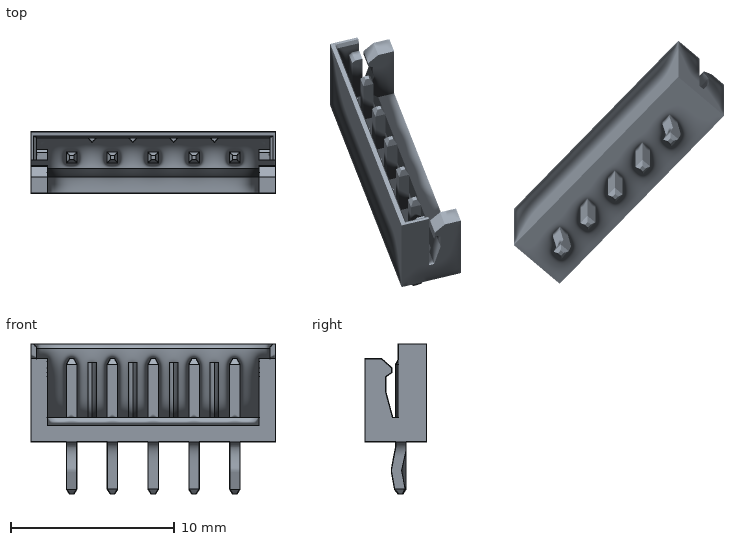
import cadquery as cq

width = 15.0
depth = 3.8
height = 6.0
floor_z = 1.5
back_wall = 0.39
side_wall = 0.33
side_wall_front_y = 2.04
cavity_back_y = depth - back_wall
cavity_half_x = width / 2 - side_wall

back_bevel_run = 0.12
back_bevel_drop = 0.27
side_bevel = 0.18

arm_width = 1.0
arm_top_z = 5.1
arm_top_y = 1.02
hook_y = 1.66
hook_upper_z = 4.53
hook_lower_z = 4.25
neck_y = 1.29
neck_upper_z = 3.99
neck_lower_z = 3.06
slot_front_y = 1.71
window_half_x = width / 2 - arm_width
sill_z = 1.0
sill_back_y = 1.02
ramp_back_y = 1.53

post_depth = 0.65
post_top_z = 5.1
post_bevel = 0.18

rib_width = 0.51
rib_depth = 0.27
rib_top_z = 4.88

pin_count = 5
pin_pitch = width / 6
pin_size = 0.65
pin_y = 2.2
pin_top_z = arm_top_z
pin_bottom_z = -3.21
tip_flat = 0.25
top_taper = 0.36
bottom_taper = 0.32
pin_front_y = pin_y - pin_size / 2
pin_back_y = pin_y + pin_size / 2

bend_shift = 0.27
bend_front_start_z = -0.33
bend_back_start_z = -0.54
bend_crest_z = -1.75
bend_radius = 0.6
bent_end_shift = 0.06
bent_tip_tilt = 0.03


def extrude_along_x(points, x_length):
    """Solid from a (Y, Z) outline, centred on X = 0."""
    return cq.Workplane("YZ").polyline(points).close().extrude(x_length / 2, both=True)


def extrude_along_y(points, y_length):
    """Solid from an (X, Z) outline, running back from Y = 0."""
    return cq.Workplane("XZ").polyline(points).close().extrude(-y_length)


def box_between(low, high):
    """Axis-aligned box from its two extreme corners."""
    size = [b - a for a, b in zip(low, high)]
    return cq.Workplane("XY").box(*size, centered=False).translate(low)


def make_housing():
    housing = extrude_along_x(
        [
            (0, 0),
            (depth, 0),
            (depth, height),
            (side_wall_front_y, height),
            (side_wall_front_y, floor_z),
            (slot_front_y, floor_z),
            (neck_y, neck_lower_z),
            (neck_y, neck_upper_z),
            (hook_y, hook_lower_z),
            (hook_y, hook_upper_z),
            (arm_top_y, arm_top_z),
            (0, arm_top_z),
        ],
        width,
    )
    window = extrude_along_x(
        [
            (0, sill_z),
            (sill_back_y, sill_z),
            (ramp_back_y, floor_z),
            (side_wall_front_y, floor_z),
            (side_wall_front_y, height),
            (0, height),
        ],
        2 * window_half_x,
    )
    return housing.cut(window).cut(make_cavity())


def make_cavity():
    """Pocket behind the front edge of the side walls, with a flared mouth."""
    side = extrude_along_x(
        [
            (side_wall_front_y, floor_z),
            (cavity_back_y, floor_z),
            (cavity_back_y, height - back_bevel_drop),
            (cavity_back_y + back_bevel_run, height),
            (side_wall_front_y, height),
        ],
        width,
    )
    front = extrude_along_y(
        [
            (-cavity_half_x, floor_z),
            (cavity_half_x, floor_z),
            (cavity_half_x, height - side_bevel),
            (cavity_half_x + side_bevel, height),
            (-cavity_half_x - side_bevel, height),
            (-cavity_half_x, height - side_bevel),
        ],
        depth,
    )
    return side.intersect(front)


def make_posts():
    back_y = side_wall_front_y + post_depth
    bar = extrude_along_x(
        [
            (side_wall_front_y, 0),
            (back_y, 0),
            (back_y, post_top_z - post_bevel),
            (back_y - post_bevel, post_top_z),
            (side_wall_front_y, post_top_z),
        ],
        2 * cavity_half_x,
    )
    gap = box_between(
        (-window_half_x, side_wall_front_y, floor_z),
        (window_half_x, back_y, post_top_z),
    )
    return bar.cut(gap)


def make_rib(x):
    return (
        cq.Workplane("XY")
        .polyline(
            [
                (x - rib_width / 2, cavity_back_y),
                (x, cavity_back_y - rib_depth),
                (x + rib_width / 2, cavity_back_y),
            ]
        )
        .close()
        .extrude(rib_top_z)
    )


def pin_outline(centre, lower_stretch):
    """Pin outline pointed at both ends; lower_stretch runs from back to front around the bottom."""
    half = pin_size / 2
    return [
        (centre - half, pin_top_z - top_taper),
        (centre - tip_flat / 2, pin_top_z),
        (centre + tip_flat / 2, pin_top_z),
        (centre + half, pin_top_z - top_taper),
        *lower_stretch,
    ]


def straight_end(centre):
    half = pin_size / 2
    taper_z = pin_bottom_z + bottom_taper
    return [
        (centre + half, taper_z),
        (centre + tip_flat / 2, pin_bottom_z),
        (centre - tip_flat / 2, pin_bottom_z),
        (centre - half, taper_z),
    ]


def bent_end():
    taper_z = pin_bottom_z + bottom_taper
    tip_y = pin_y - bent_end_shift / 2
    return [
        (pin_back_y, bend_back_start_z),
        (pin_back_y - bend_shift, bend_crest_z),
        (pin_back_y - bent_end_shift, taper_z + bent_tip_tilt),
        (tip_y + tip_flat / 2, pin_bottom_z),
        (tip_y - tip_flat / 2, pin_bottom_z),
        (pin_front_y - bent_end_shift, taper_z - bent_tip_tilt),
        (pin_front_y - bend_shift, bend_crest_z),
        (pin_front_y, bend_front_start_z),
    ]


def make_pin(is_bent):
    """Square pin at X = 0: the overlap of its side outline and its front outline."""
    side = extrude_along_x(pin_outline(pin_y, bent_end() if is_bent else straight_end(pin_y)), pin_size)
    if is_bent:
        side = side.edges("|X").edges("<Y").fillet(bend_radius)
    front = extrude_along_y(pin_outline(0, straight_end(0)), depth)
    return side.intersect(front)


result = make_housing().union(make_posts())

first_pin_x = -pin_pitch * (pin_count - 1) / 2
for index in range(pin_count - 1):
    result = result.union(make_rib(first_pin_x + (index + 0.5) * pin_pitch))

for index in range(pin_count):
    is_outer = index in (0, pin_count - 1)
    pin = make_pin(is_bent=is_outer)
    result = result.union(pin.translate((first_pin_x + index * pin_pitch, 0, 0)))